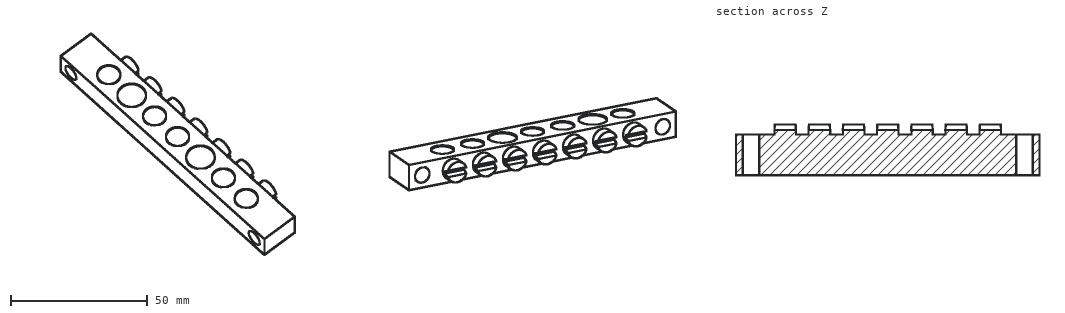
import cadquery as cq

bar_length = 111.0
bar_depth = 15.0
bar_height = 10.0

mount_hole_diameter = 6.0
mount_hole_spacing = 100.0

socket_count = 7
socket_pitch = 12.5
socket_diameter = 8.5
large_socket_diameter = 10.5
large_socket_indices = (1, 4)
socket_depth = 0.5
socket_setback = 7.4

screw_diameter = 8.0
screw_projection = 3.7
slot_depth = 2.0
slot_mouth_width = 2.4
slot_floor_width = 0.9

socket_positions = [(i - (socket_count - 1) / 2) * socket_pitch for i in range(socket_count)]


def make_bar():
    return cq.Workplane("XY").box(bar_length, bar_depth, bar_height).translate((0, bar_depth / 2, 0))


def make_mount_holes():
    """Cylinders along Y, one near each end of the bar."""
    half_spacing = mount_hole_spacing / 2
    return (
        cq.Workplane("XZ")
        .pushPoints([(-half_spacing, 0), (half_spacing, 0)])
        .circle(mount_hole_diameter / 2)
        .extrude(-bar_depth)
    )


def make_socket(x, diameter):
    """Shallow round recess cut down from the top face."""
    return (
        cq.Workplane("XY", origin=(x, socket_setback, bar_height / 2))
        .circle(diameter / 2)
        .extrude(-socket_depth)
    )


def make_screw(x):
    """Round screw head along +Y with a tapered driver slot running along X."""
    head_end = bar_depth + screw_projection
    head = (
        cq.Workplane("XZ", origin=(x, bar_depth, 0))
        .circle(screw_diameter / 2)
        .extrude(-screw_projection)
    )
    slot = (
        cq.Workplane("YZ", origin=(x, 0, 0))
        .moveTo(head_end, -slot_mouth_width / 2)
        .lineTo(head_end, slot_mouth_width / 2)
        .lineTo(head_end - slot_depth, slot_floor_width / 2)
        .lineTo(head_end - slot_depth, -slot_floor_width / 2)
        .close()
        .extrude(screw_diameter / 2, both=True)
    )
    return head.cut(slot)


result = make_bar().cut(make_mount_holes())
for index, x in enumerate(socket_positions):
    diameter = large_socket_diameter if index in large_socket_indices else socket_diameter
    result = result.cut(make_socket(x, diameter)).union(make_screw(x))